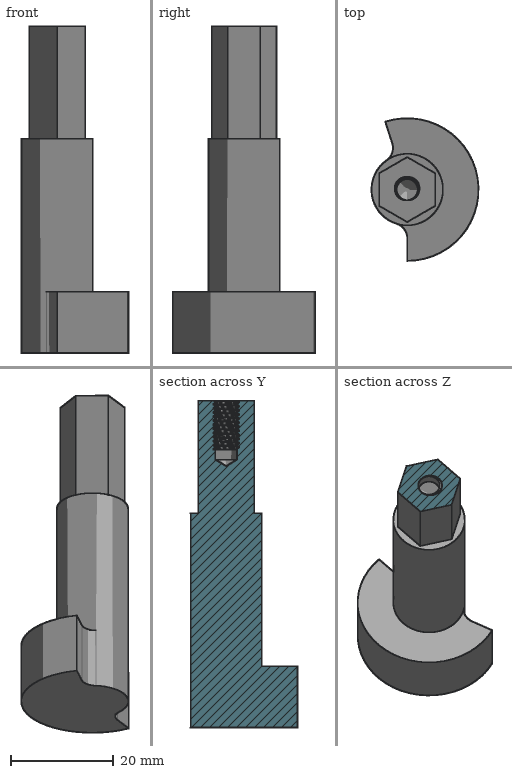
import cadquery as cq
import math

total_height = 64.0
hex_height = 22.0
hex_across_flats = 11.0
shaft_diameter = 14.0
shaft_radius = shaft_diameter / 2
shaft_height = total_height - hex_height

flange_diameter = 28.0
flange_radius = flange_diameter / 2
flange_height = 12.0
flange_start_angle = -90.0
flange_end_angle = 108.0
root_fillet_radius = 3.0

thread_pitch = 0.8
thread_diameter = 5.05
thread_radius = thread_diameter / 2
thread_depth = 9.6
thread_root_angle = 135.0
root_share = 1 / 8
crest_share = 1 / 4
flank_spans = 12
drill_diameter = 4.2
drill_radius = drill_diameter / 2
drill_depth = 11.5
drill_point_angle = 118.0


def polar(radius, angle):
    """Point at the given radius and angle in degrees."""
    return (radius * math.cos(math.radians(angle)), radius * math.sin(math.radians(angle)))


def make_shaft():
    return cq.Workplane("XY").circle(shaft_radius).extrude(shaft_height)


def make_hex_end():
    across_corners = hex_across_flats / math.cos(math.radians(30))
    return (
        cq.Workplane("XY")
        .workplane(offset=shaft_height)
        .transformed(rotate=(0, 0, 90))
        .polygon(6, across_corners)
        .extrude(hex_height)
    )


def make_flange():
    """Sector whose two radial ends blend into the shaft with concave fillets."""
    fillet_center_radius = shaft_radius + root_fillet_radius
    fillet_angle = math.degrees(math.asin(root_fillet_radius / fillet_center_radius))
    straight_start_radius = fillet_center_radius * math.cos(math.radians(fillet_angle))

    def fillet_middle(end_angle, side):
        """Midpoint of the fillet arc; side is +1 or -1 for the open side of the end."""
        center_angle = end_angle + side * fillet_angle
        center_x, center_y = polar(fillet_center_radius, center_angle)
        middle_angle = center_angle + 180 + side * (90 - fillet_angle) / 2
        offset_x, offset_y = polar(root_fillet_radius, middle_angle)
        return (center_x + offset_x, center_y + offset_y)

    middle_angle = (flange_start_angle + flange_end_angle) / 2
    return (
        cq.Workplane("XY")
        .moveTo(*polar(straight_start_radius, flange_start_angle))
        .lineTo(*polar(flange_radius, flange_start_angle))
        .threePointArc(polar(flange_radius, middle_angle), polar(flange_radius, flange_end_angle))
        .lineTo(*polar(straight_start_radius, flange_end_angle))
        .threePointArc(
            fillet_middle(flange_end_angle, 1),
            polar(shaft_radius, flange_end_angle + fillet_angle),
        )
        .threePointArc(
            polar(shaft_radius, middle_angle),
            polar(shaft_radius, flange_start_angle - fillet_angle),
        )
        .threePointArc(
            fillet_middle(flange_start_angle, -1),
            polar(straight_start_radius, flange_start_angle),
        )
        .close()
        .extrude(flange_height)
    )


def make_drill_end():
    """Plain bore with a conical bottom, below the thread."""
    point_length = drill_radius / math.tan(math.radians(drill_point_angle / 2))
    thread_bottom = total_height - thread_depth
    floor = total_height - drill_depth
    return (
        cq.Workplane("XZ")
        .moveTo(0, thread_bottom)
        .lineTo(drill_radius, thread_bottom)
        .lineTo(drill_radius, floor)
        .lineTo(0, floor - point_length)
        .close()
        .revolve(360, (0, 0), (0, 1))
    )


def make_threaded_bore():
    """Right-hand threaded bore, made by twisting its horizontal section along its depth.

    One turn of the section maps to one pitch: the root and the crest are arcs, and each flank
    is a spiral between them.
    """
    root_half_turn = root_share * 180
    crest_half_turn = crest_share * 180
    flank_turn = 180 - root_half_turn - crest_half_turn
    groove_depth = thread_radius - drill_radius

    def flank_point(side, t):
        """Point on a flank, from the root (t = 0) to the crest (t = 1); side is +1 or -1."""
        return polar(thread_radius - groove_depth * t, side * (root_half_turn + flank_turn * t))

    steps = [i / flank_spans for i in range(flank_spans + 1)]
    falling_flank = [flank_point(1, t) for t in steps]
    rising_flank = [flank_point(-1, t) for t in reversed(steps)]
    crest_start = falling_flank[-1]
    crest_end = rising_flank[0]
    root_start = rising_flank[-1]
    root_end = falling_flank[0]

    twist = 360 * thread_depth / thread_pitch
    bottom_angle = thread_root_angle - twist
    return (
        cq.Workplane("XY")
        .spline(falling_flank)
        .moveTo(*crest_start)
        .threePointArc(polar(drill_radius, 180), crest_end)
        .spline(rising_flank)
        .moveTo(*root_start)
        .threePointArc(polar(thread_radius, 0), root_end)
        .wire()
        .twistExtrude(thread_depth, twist)
        .rotate((0, 0, 0), (0, 0, 1), bottom_angle)
        .translate((0, 0, total_height - thread_depth))
    )


body = make_shaft().union(make_flange()).union(make_hex_end())
result = body.cut(make_threaded_bore()).cut(make_drill_end())